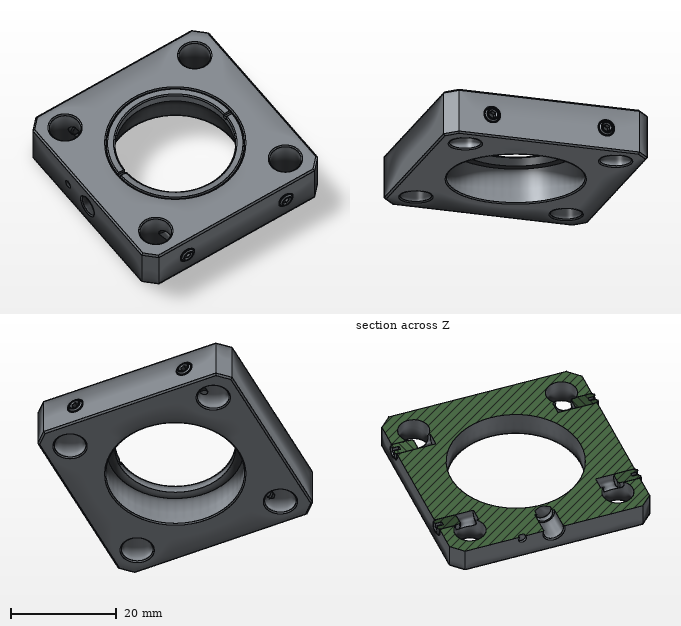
import cadquery as cq
import math

plate_side = 40.65
plate_height = 8.9
corner_cut = 2.3
plate_edge_chamfer = 0.35
top_z = plate_height / 2

bore_dia = 26.3
bore_chamfer = 0.25

rod_dia = 6.0
rod_offset = 15.0
rod_chamfer = 0.25

tap_thread_dia = 4.0
tap_thread_depth = 4.95
tap_drill_dia = 3.3
tap_drill_depth = 6.0
tap_chamfer = 0.25

pin_hole_dia = 1.57
pin_hole_depth = 0.5
pin_hole_x = -6.38

drill_point_angle = 118.0

overall_width = 41.4
screw_dia = 2.85
screw_length = 4.75
screw_y = 11.4
screw_end_dia = 2.28
screw_chamfer = (screw_dia - screw_end_dia) / 2
socket_width = 1.3
socket_mouth_dia = 1.9
socket_depth = 1.5
screw_hole_depth = 8.3
screw_mouth_dia = 3.3

ring_outer_dia = 26.15
ring_inner_dia = 22.9
ring_height = 1.9
ring_chamfer = 0.25
ring_slot_width = 0.8
ring_slot_depth = 0.62

screw_places = [(side, y) for side in (-1, 1) for y in (-screw_y, screw_y)]


def on_side_face(side, y):
    """Plane at an end of the overall width, with its normal pointing into the plate along X."""
    return cq.Plane(origin=(side * overall_width / 2, y, 0), xDir=(0, 1, 0), normal=(-side, 0, 0))


def drill_point_height(diameter):
    return diameter / 2 / math.tan(math.radians(drill_point_angle / 2))


def chamfered_through_hole(diameter, chamfer):
    """Vertical cutter for a through hole with a chamfer at both plate faces."""
    radius = diameter / 2
    return (
        cq.Workplane("XZ")
        .moveTo(0, -top_z)
        .lineTo(radius + chamfer, -top_z)
        .lineTo(radius, -top_z + chamfer)
        .lineTo(radius, top_z - chamfer)
        .lineTo(radius + chamfer, top_z)
        .lineTo(0, top_z)
        .close()
        .revolve(360, (0, 0, 0), (0, 1, 0))
    )


def make_mounting_hole():
    """Cutter along +Y: chamfered thread, drill bore and conical drill point."""
    thread_radius = tap_thread_dia / 2
    drill_radius = tap_drill_dia / 2
    return (
        cq.Workplane("XY")
        .lineTo(thread_radius + tap_chamfer, 0)
        .lineTo(thread_radius, tap_chamfer)
        .lineTo(thread_radius, tap_thread_depth)
        .lineTo(drill_radius, tap_thread_depth)
        .lineTo(drill_radius, tap_drill_depth)
        .lineTo(0, tap_drill_depth + drill_point_height(tap_drill_dia))
        .close()
        .revolve(360, (0, 0, 0), (0, 1, 0))
        .translate((0, -plate_side / 2, 0))
    )


def make_pin_hole():
    """Cutter along +Y with a conical drill point."""
    radius = pin_hole_dia / 2
    return (
        cq.Workplane("XY")
        .lineTo(radius, 0)
        .lineTo(radius, pin_hole_depth)
        .lineTo(0, pin_hole_depth + drill_point_height(pin_hole_dia))
        .close()
        .revolve(360, (0, 0, 0), (0, 1, 0))
        .translate((pin_hole_x, -plate_side / 2, 0))
    )


def make_screw_hole(side, y):
    """Cutter for one set screw, with a 45 degree countersink at the plate's side face."""
    shaft = cq.Workplane(on_side_face(side, y)).circle(screw_dia / 2).extrude(screw_hole_depth)
    protrusion = (overall_width - plate_side) / 2
    countersink_depth = (screw_mouth_dia - screw_dia) / 2
    countersink = (
        cq.Workplane(on_side_face(side, y))
        .workplane(offset=protrusion)
        .circle(screw_mouth_dia / 2)
        .workplane(offset=countersink_depth)
        .circle(screw_dia / 2)
        .loft()
    )
    return shaft.union(countersink)


def make_plate():
    body = (
        cq.Workplane("XY")
        .box(plate_side, plate_side, plate_height)
        .edges("|Z")
        .chamfer(corner_cut)
        .faces("<Z or >Z")
        .chamfer(plate_edge_chamfer)
    )
    body = body.cut(chamfered_through_hole(bore_dia, bore_chamfer))
    rod_hole = chamfered_through_hole(rod_dia, rod_chamfer)
    for x in (-rod_offset, rod_offset):
        for y in (-rod_offset, rod_offset):
            body = body.cut(rod_hole.translate((x, y, 0)))
    body = body.cut(make_mounting_hole()).cut(make_pin_hole())
    for side, y in screw_places:
        body = body.cut(make_screw_hole(side, y))
    return body


def make_ring():
    """Retaining ring flush with the plate top, with a chamfered spanner slot across its top face."""
    body = (
        cq.Workplane("XY")
        .workplane(offset=top_z)
        .circle(ring_outer_dia / 2)
        .circle(ring_inner_dia / 2)
        .extrude(-ring_height)
        .faces(">Z")
        .chamfer(ring_chamfer)
    )
    slot = (
        cq.Workplane("XY")
        .workplane(offset=top_z)
        .rect(ring_slot_width, ring_outer_dia)
        .extrude(-ring_slot_depth)
    )
    floor_chamfer = (
        cq.Workplane("XY")
        .workplane(offset=top_z - ring_slot_depth)
        .circle(ring_inner_dia / 2 + ring_chamfer)
        .workplane(offset=-ring_chamfer)
        .circle(ring_inner_dia / 2)
        .loft()
        .intersect(cq.Workplane("XY").box(ring_slot_width, ring_outer_dia, plate_height))
    )
    return body.cut(slot).cut(floor_chamfer)


def make_screw(side, y):
    """Headless set screw, chamfered at both ends, with a hex socket in its outer end."""
    plane = on_side_face(side, y)
    shaft = cq.Workplane(plane).circle(screw_dia / 2).extrude(screw_length).edges().chamfer(screw_chamfer)
    socket_corner_dia = socket_width / math.cos(math.pi / 6)
    socket = (
        cq.Workplane(plane)
        .transformed(rotate=(0, 0, 30))
        .polygon(6, socket_corner_dia)
        .extrude(socket_depth)
    )
    socket_mouth = (
        cq.Workplane(plane)
        .circle(socket_mouth_dia / 2)
        .workplane(offset=(socket_mouth_dia - socket_width) / 2)
        .circle(socket_width / 2)
        .loft()
    )
    return shaft.cut(socket).cut(socket_mouth)


plate = make_plate()
ring = make_ring()
screws = [make_screw(side, y) for side, y in screw_places]

result = cq.Compound.makeCompound([plate.val(), ring.val(), *[screw.val() for screw in screws]])